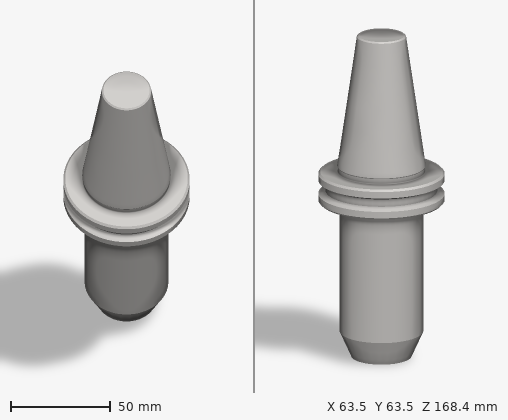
import cadquery as cq
import math

total_height = 168.4
nose_height = 13.1
gauge_height = 100.0
flange_bottom = 81.0
flange_top = 96.8

nose_radius = 15.2
barrel_radius = 21.0
gauge_radius = 22.2
neck_radius = 21.9
taper_top_radius = 12.3
flange_diameter = 63.5
flange_radius = flange_diameter / 2
groove_radius = 28.1

groove_center = 88.9
groove_floor_width = 3.9
groove_mouth_width = 7.0

flange_chamfer = 1.0
taper_top_chamfer = 0.7
barrel_root_fillet = 1.0
neck_root_fillet = 0.5
neck_step_height = 0.5


def revolve_profile(points):
    """Solid of revolution about Z from (radius, height) points."""
    return cq.Workplane("XZ").polyline(points).close().revolve(360, (0, 0), (0, 1))


def make_root_fillet(radius, face_height, size, direction):
    """Concave ring joining a cylinder to a flange face; direction is +1 above it, -1 below."""
    drop = size * (1 - math.sqrt(0.5))
    return (
        cq.Workplane("XZ")
        .moveTo(0, face_height)
        .lineTo(radius + size, face_height)
        .threePointArc(
            (radius + drop, face_height + direction * drop),
            (radius, face_height + direction * size),
        )
        .lineTo(0, face_height + direction * size)
        .close()
        .revolve(360, (0, 0), (0, 1))
    )


def make_barrel():
    barrel = revolve_profile([
        (0, 0),
        (nose_radius, 0),
        (barrel_radius, nose_height),
        (barrel_radius, flange_bottom),
        (0, flange_bottom),
    ])
    return barrel.union(make_root_fillet(barrel_radius, flange_bottom, barrel_root_fillet, -1))


def make_flange():
    disc = (
        cq.Workplane("XY", origin=(0, 0, flange_bottom))
        .circle(flange_radius)
        .extrude(flange_top - flange_bottom)
        .edges()
        .chamfer(flange_chamfer)
    )
    half_floor = groove_floor_width / 2
    half_mouth = groove_mouth_width / 2
    groove = revolve_profile([
        (groove_radius, groove_center - half_floor),
        (flange_radius, groove_center - half_mouth),
        (flange_radius, groove_center + half_mouth),
        (groove_radius, groove_center + half_floor),
    ])
    return disc.cut(groove)


def make_shank():
    """Short neck above the flange, a small step outward, then the tool taper."""
    shank = revolve_profile([
        (0, flange_top),
        (neck_radius, flange_top),
        (neck_radius, gauge_height - neck_step_height),
        (gauge_radius, gauge_height),
        (taper_top_radius, total_height),
        (0, total_height),
    ])
    shank = shank.faces(">Z").edges().chamfer(taper_top_chamfer)
    return shank.union(make_root_fillet(neck_radius, flange_top, neck_root_fillet, 1))


result = make_barrel().union(make_flange()).union(make_shank())